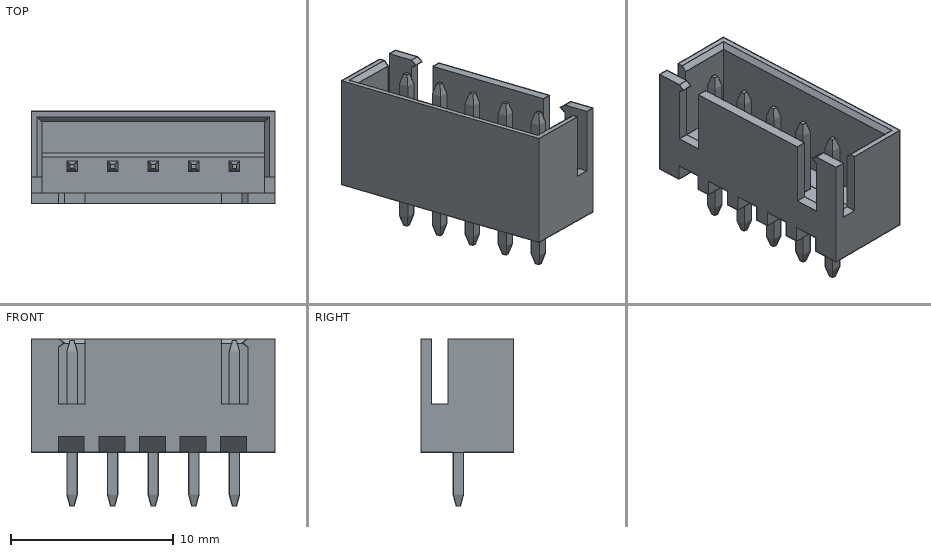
import cadquery as cq


PIN_COUNT = 5
PITCH = 2.5
PIN_SIZE = 0.64
PIN_TIP_SIZE = 0.26
PIN_TIP_LENGTH = 0.7
PIN_TOP = 6.9
PIN_BOTTOM = -3.3

LENGTH = 15.0
DEPTH = 5.7
HEIGHT = 7.0
FRONT_Y = -2.3
BACK_Y = FRONT_Y + DEPTH
WALL = 0.65
CAVITY_LENGTH = LENGTH - 2 * WALL
CAVITY_FRONT_Y = FRONT_Y + WALL
CAVITY_BACK_Y = BACK_Y - WALL

FLOOR_Z = 2.0
BACK_FLOOR_Z = 1.3
STEP_TOP_Y = 0.57
STEP_BOTTOM_Y = 0.83

LEAD_IN_WIDTH = 0.3
LEAD_IN_HEIGHT = 0.3

SLOT_BOTTOM_Z = 3.0
FRONT_SLOT_INSET = 1.68
FRONT_SLOT_OUTER_X = LENGTH / 2 - FRONT_SLOT_INSET
FRONT_SLOT_WIDTH = 1.62
END_SLOT_WIDTH = 1.0

BUMP_REACH = 0.35
BUMP_HEIGHT = 0.5

NOTCH_WIDTH = 1.6
NOTCH_HEIGHT = 1.0
NOTCH_DEPTH = 1.08
NOTCH_OFFSET_X = -0.05

PIN_XS = [(i - (PIN_COUNT - 1) / 2) * PITCH for i in range(PIN_COUNT)]


def block(x_range, y_range, z_range):
    """Box spanning the given (low, high) ranges."""
    size = [high - low for low, high in (x_range, y_range, z_range)]
    corner = (x_range[0], y_range[0], z_range[0])
    return cq.Workplane("XY").box(*size, centered=False).translate(corner)


def extrude_along_x(outline, x_start, x_length):
    """Prism of a (Y, Z) outline running along +X from x_start."""
    return cq.Workplane("YZ", origin=(x_start, 0, 0)).polyline(outline).close().extrude(x_length)


def cavity():
    """Open-topped cavity with a sloped step in its floor."""
    outline = [
        (CAVITY_FRONT_Y, FLOOR_Z),
        (STEP_TOP_Y, FLOOR_Z),
        (STEP_BOTTOM_Y, BACK_FLOOR_Z),
        (CAVITY_BACK_Y, BACK_FLOOR_Z),
        (CAVITY_BACK_Y, HEIGHT),
        (CAVITY_FRONT_Y, HEIGHT),
    ]
    return extrude_along_x(outline, -CAVITY_LENGTH / 2, CAVITY_LENGTH)


def lead_in():
    """Mitred rim chamfer on the back and end walls; the front wall keeps a square rim."""
    lower_z = HEIGHT - LEAD_IN_HEIGHT
    cavity_depth = CAVITY_BACK_Y - CAVITY_FRONT_Y
    center_y = (CAVITY_FRONT_Y + CAVITY_BACK_Y) / 2
    flare = (
        cq.Workplane("XY", origin=(0, center_y, lower_z))
        .rect(CAVITY_LENGTH, cavity_depth)
        .workplane(offset=LEAD_IN_HEIGHT)
        .rect(CAVITY_LENGTH + 2 * LEAD_IN_WIDTH, cavity_depth + 2 * LEAD_IN_WIDTH)
        .loft(ruled=True)
    )
    behind_front_wall = block((-LENGTH, LENGTH), (CAVITY_FRONT_Y, BACK_Y), (0, HEIGHT))
    return flare.intersect(behind_front_wall)


def end_slots():
    """Slot through both end walls, directly behind the front wall."""
    y_range = (CAVITY_FRONT_Y, CAVITY_FRONT_Y + END_SLOT_WIDTH)
    return block((-LENGTH / 2, LENGTH / 2), y_range, (SLOT_BOTTOM_Z, HEIGHT))


def front_slot():
    """Left slot through the front wall, narrowed near its top by the latch bump."""
    outer_x = -FRONT_SLOT_OUTER_X
    inner_x = outer_x + FRONT_SLOT_WIDTH
    outline = [
        (outer_x, SLOT_BOTTOM_Z),
        (inner_x, SLOT_BOTTOM_Z),
        (inner_x, HEIGHT),
        (outer_x, HEIGHT),
        (outer_x + BUMP_REACH, HEIGHT - BUMP_HEIGHT / 2),
        (outer_x, HEIGHT - BUMP_HEIGHT),
    ]
    return cq.Workplane("XZ", origin=(0, FRONT_Y, 0)).polyline(outline).close().extrude(-WALL)


def notch(pin_x):
    """Wedge cut under the front edge, its ceiling falling towards the pin."""
    outline = [(FRONT_Y, 0), (FRONT_Y, NOTCH_HEIGHT), (FRONT_Y + NOTCH_DEPTH, 0)]
    return extrude_along_x(outline, pin_x + NOTCH_OFFSET_X - NOTCH_WIDTH / 2, NOTCH_WIDTH)


def housing():
    body = block((-LENGTH / 2, LENGTH / 2), (FRONT_Y, BACK_Y), (0, HEIGHT))
    body = body.cut(cavity()).cut(lead_in()).cut(end_slots())
    left_slot = front_slot()
    body = body.cut(left_slot).cut(left_slot.mirror("YZ"))
    for x in PIN_XS:
        body = body.cut(notch(x))
    return body


def pin(x):
    """Square pin with a blunt pyramid tip at each end."""
    shank_bottom = PIN_BOTTOM + PIN_TIP_LENGTH
    shank_top = PIN_TOP - PIN_TIP_LENGTH
    half = PIN_SIZE / 2
    body = block((x - half, x + half), (-half, half), (shank_bottom, shank_top))
    for base_z, tip_z in ((shank_bottom, PIN_BOTTOM), (shank_top, PIN_TOP)):
        tip = (
            cq.Workplane("XY", origin=(x, 0, base_z))
            .rect(PIN_SIZE, PIN_SIZE)
            .workplane(offset=tip_z - base_z)
            .rect(PIN_TIP_SIZE, PIN_TIP_SIZE)
            .loft(ruled=True)
        )
        body = body.union(tip)
    return body


result = housing()
for pin_x in PIN_XS:
    result = result.union(pin(pin_x))